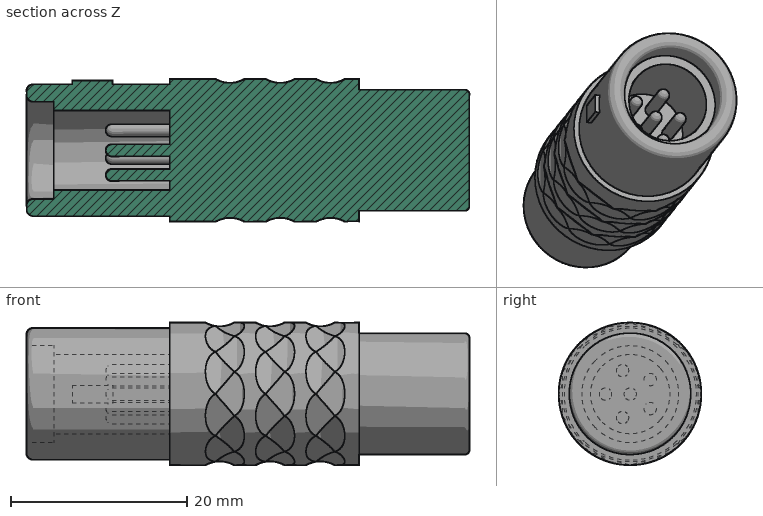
import cadquery as cq
import math

TOTAL_LENGTH = 50.3
GRIP_START = 16.25
GRIP_END = 37.75

FRONT_RADIUS = 7.5
GRIP_RADIUS = 8.1
REAR_RADIUS = 6.9

RIM_ROUND = 0.8
REAR_ROUND = 0.6

MOUTH_RADIUS = 5.5
MOUTH_DEPTH = 3.1
SOCKET_RADIUS = 4.5
SOCKET_DEPTH = GRIP_START

PIN_RADIUS = 0.7
PIN_TIP_X = 9.0
PIN_CIRCLE_RADIUS = 2.8
PIN_RING_COUNT = 5
FIRST_PIN_ANGLE = -90.0

KEY_START = 5.2
KEY_LENGTH = 4.6
KEY_WIDTH = 2.0
KEY_TOP = 7.95

BAND_COUNT = 3
BAND_PITCH = 5.7
FIRST_ROW_X = 21.95
ROW_OFFSET = 1.15
HOLLOWS_PER_ROW = 10
HOLLOW_DEPTH = 0.43
HOLLOW_HALF_WIDTH = 1.63
HOLLOW_CUTTER_RADIUS = (HOLLOW_HALF_WIDTH**2 + HOLLOW_DEPTH**2) / (2 * HOLLOW_DEPTH)
HOLLOW_CUTTER_LENGTH = GRIP_RADIUS


def cylinder_x(radius, start, end):
    """Solid cylinder on the X axis between two stations."""
    return cq.Workplane("YZ").workplane(offset=start).circle(radius).extrude(end - start)


def make_grip():
    grip = cylinder_x(GRIP_RADIUS, GRIP_START, GRIP_END)
    axis_height = GRIP_RADIUS - HOLLOW_DEPTH + HOLLOW_CUTTER_RADIUS
    cutter = (
        cq.Workplane("XZ")
        .center(0, axis_height)
        .circle(HOLLOW_CUTTER_RADIUS)
        .extrude(HOLLOW_CUTTER_LENGTH / 2, both=True)
    )
    pitch_angle = 360.0 / HOLLOWS_PER_ROW
    rows = ((0.0, 0.0), (ROW_OFFSET, pitch_angle / 2))
    for band in range(BAND_COUNT):
        for row_shift, row_angle in rows:
            row_x = FIRST_ROW_X + band * BAND_PITCH + row_shift
            for index in range(HOLLOWS_PER_ROW):
                angle = row_angle + index * pitch_angle
                hollow = cutter.rotate((0, 0, 0), (1, 0, 0), angle)
                grip = grip.cut(hollow.translate((row_x, 0, 0)))
    return grip


def make_front_sleeve():
    sleeve = cylinder_x(FRONT_RADIUS, 0, GRIP_START)
    mouth = cylinder_x(MOUTH_RADIUS, 0, MOUTH_DEPTH)
    socket = cylinder_x(SOCKET_RADIUS, 0, SOCKET_DEPTH)
    return sleeve.cut(mouth).faces("<X").edges().fillet(RIM_ROUND).cut(socket)


def make_rear_sleeve():
    sleeve = cylinder_x(REAR_RADIUS, GRIP_END, TOTAL_LENGTH)
    return sleeve.faces(">X").edges().fillet(REAR_ROUND)


def make_key():
    root = (MOUTH_RADIUS + FRONT_RADIUS) / 2
    return cq.Workplane("XY").box(
        KEY_LENGTH, KEY_TOP - root, KEY_WIDTH, centered=(False, False, True)
    ).translate((KEY_START, root, 0))


def make_pin(y, z):
    """Pin rising from the socket floor with a hemispherical tip."""
    dome_x = PIN_TIP_X + PIN_RADIUS
    shaft = cylinder_x(PIN_RADIUS, dome_x, SOCKET_DEPTH)
    dome = cq.Workplane("XY").sphere(PIN_RADIUS).translate((dome_x, 0, 0))
    return shaft.union(dome).translate((0, y, z))


def pin_positions():
    positions = [(0.0, 0.0)]
    for index in range(PIN_RING_COUNT):
        angle = math.radians(FIRST_PIN_ANGLE + index * 360.0 / PIN_RING_COUNT)
        positions.append((PIN_CIRCLE_RADIUS * math.sin(angle), PIN_CIRCLE_RADIUS * math.cos(angle)))
    return positions


result = make_grip().union(make_front_sleeve()).union(make_rear_sleeve()).union(make_key())
for pin_y, pin_z in pin_positions():
    result = result.union(make_pin(pin_y, pin_z))